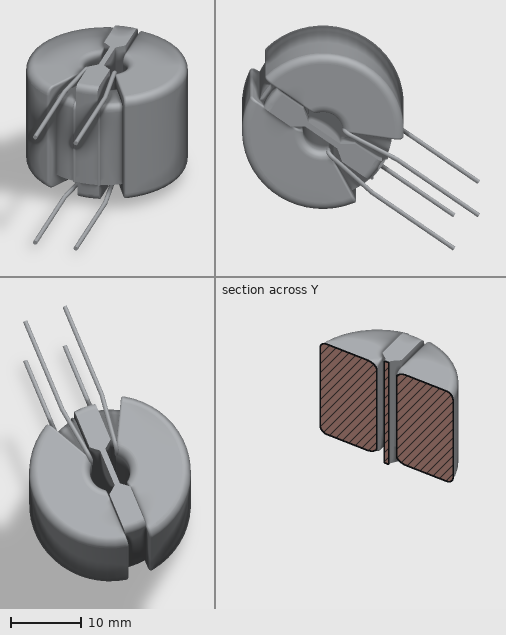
import cadquery as cq
import math

winding_radius = 11.5
winding_bore_radius = 2.85
winding_half_height = 8.2
winding_round = 1.2
winding_end_round = 0.3

end_plane_lean = 27.0
end_plane_offset = 0.6

core_radius = 9.9
core_bore_radius = 4.3
core_top = 6.45
core_bottom = -6.25
core_round = 1.0

bar_half_width = 1.6
bar_half_height = 9.25
bar_radius = 10.0
bar_round = 1.0
lower_bar_radius = 9.3
web_half_width = 0.4
web_half_length = 2.8
upper_taper_end = 3.8
lower_taper_end = 4.5

bead_radius = 0.21
bead_reach = 10.07
bead_bend_radius = 0.9

wire_radius = 0.32
wire_height = 8.5
wire_tip_y = -25.03
wire_straight_x = 3.02
wire_straight_start_y = -10.75
wire_kink = (2.28, -4.96)
wire_bend_start = (2.11, -3.5)
wire_bend_radius = 1.15
wire_tail_bottom = 6.5


def ring(outer, bore, bottom, top):
    """Plain ring about Z."""
    return cq.Workplane("XY").workplane(offset=bottom).circle(outer).circle(bore).extrude(top - bottom)


def make_winding():
    """Winding half on the +X side, with softened end faces."""
    body = ring(winding_radius, winding_bore_radius, -winding_half_height, winding_half_height)
    body = body.faces("|Z").edges().fillet(winding_round)
    reach = 2 * winding_radius
    lean = math.radians(end_plane_lean)
    meeting_y = -(bar_half_width - end_plane_offset) / math.tan(lean)
    keep = (
        cq.Workplane("XY")
        .workplane(offset=-winding_half_height)
        .polyline([
            (bar_half_width, reach),
            (bar_half_width, meeting_y),
            (end_plane_offset + reach * math.tan(lean), -reach),
            (2 * reach, -reach),
            (2 * reach, reach),
        ])
        .close()
        .extrude(2 * winding_half_height)
    )
    half = body.intersect(keep)
    leaning_normal = cq.Vector(-math.cos(lean), -math.sin(lean), 0)
    back_end = half.faces("<X").faces(">Y")
    front_end = half.faces(cq.selectors.ParallelDirSelector(leaning_normal))
    end_edges = back_end.edges().add(front_end.edges())
    return cq.Workplane(half.val()).newObject(end_edges.vals()).fillet(winding_end_round)


def make_core():
    """Toroid rounded along its upper rims, flat below."""
    return ring(core_radius, core_bore_radius, core_bottom, core_top).faces(">Z").edges().fillet(core_round)


def make_bead():
    """Bead on the +X side: a rod up the -Y face that bends over the rounded rim of the core."""
    x = bar_half_width + bead_radius
    y = bead_radius - bead_reach
    bend_start_z = core_top - bead_radius - bead_bend_radius
    run = bead_bend_radius * math.sin(math.radians(45))
    path = (
        cq.Workplane("YZ", origin=(x, 0, 0))
        .moveTo(y, core_bottom)
        .lineTo(y, bend_start_z)
        .threePointArc(
            (y + bead_bend_radius - run, bend_start_z + run),
            (y + bead_bend_radius, bend_start_z + bead_bend_radius),
        )
    )
    return cq.Workplane("XY", origin=(x, y, core_bottom)).circle(bead_radius).sweep(path)


def make_bar(radius, taper_end, bottom, top, rounded_face):
    """Bar with arc ends, necked down to a thin web across the bore."""
    end_reach = radius + bar_half_width
    outline = (
        cq.Workplane("XY")
        .workplane(offset=bottom)
        .polyline([
            (bar_half_width, end_reach),
            (bar_half_width, taper_end),
            (web_half_width, web_half_length),
            (web_half_width, -web_half_length),
            (bar_half_width, -taper_end),
            (bar_half_width, -end_reach),
            (-bar_half_width, -end_reach),
            (-bar_half_width, -taper_end),
            (-web_half_width, -web_half_length),
            (-web_half_width, web_half_length),
            (-bar_half_width, taper_end),
            (-bar_half_width, end_reach),
        ])
        .close()
        .extrude(top - bottom)
    )
    disc = cq.Workplane("XY").workplane(offset=bottom).circle(radius).extrude(top - bottom)
    return outline.intersect(disc.faces(rounded_face).edges().fillet(bar_round))


def make_wire():
    """Upper lead on the +X side: straight runs with two kinks, then a bend down into the winding."""
    lead_tip = cq.Vector(wire_straight_x, wire_tip_y, wire_height)
    straight_end = cq.Vector(wire_straight_x, wire_straight_start_y, wire_height)
    kink = cq.Vector(*wire_kink, wire_height)
    bend_start = cq.Vector(*wire_bend_start, wire_height)
    inward = (bend_start - kink).normalized()
    down = cq.Vector(0, 0, -1)
    run = wire_bend_radius * math.sin(math.radians(45))
    bend_middle = bend_start + inward * run + down * (wire_bend_radius - run)
    bend_end = bend_start + (inward + down) * wire_bend_radius
    tail_end = cq.Vector(bend_end.x, bend_end.y, wire_tail_bottom)
    path = cq.Wire.assembleEdges([
        cq.Edge.makeLine(lead_tip, straight_end),
        cq.Edge.makeLine(straight_end, kink),
        cq.Edge.makeLine(kink, bend_start),
        cq.Edge.makeThreePointArc(bend_start, bend_middle, bend_end),
        cq.Edge.makeLine(bend_end, tail_end),
    ])
    section = cq.Workplane("XZ", origin=lead_tip.toTuple()).circle(wire_radius)
    return section.sweep(path, transition="round")


upper_bar = make_bar(bar_radius, upper_taper_end, core_bottom, bar_half_height, ">Z")
lower_bar = make_bar(lower_bar_radius, lower_taper_end, -bar_half_height, core_bottom, "<Z")
winding = make_winding()
upper_wire = make_wire()

bead = make_bead()

result = upper_bar.union(lower_bar).union(make_core())
for right_part in (winding, bead, upper_wire, upper_wire.mirror("XY")):
    result = result.union(right_part).union(right_part.mirror("YZ"))